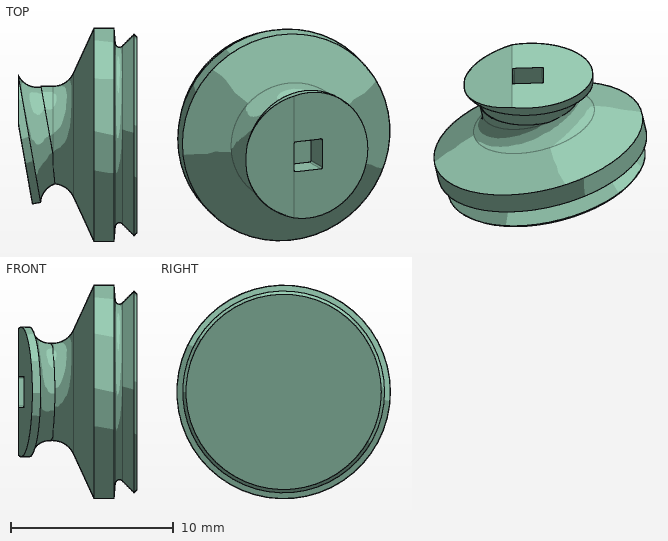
import cadquery as cq
import math

overall_length = 7.3
rim_radius = 6.565
rim_start_x = 4.65
rim_width = 1.23

neck_radius = 3.0
neck_fillet_start_x = 2.13
cone_angle = math.radians(24.7)

groove_bottom_radius = 5.4
groove_fillet = 0.25
groove_wall_angle = math.radians(5)
lip_angle = math.radians(45)
lip_radius = 6.2
lip_chamfer = 0.2

head_tilt = 10
head_pivot_x = 1.92
head_radius = 3.99
head_rim_width = 0.515
head_fillet = 1.3

socket_size = 1.9
socket_corner_radius = 0.1
socket_depth = 1.76


def arc_point(center, radius, angle):
    """Point of a circle in the (x, radius) half plane; angle in radians from +X."""
    return (center[0] + radius * math.cos(angle), center[1] + radius * math.sin(angle))


def revolve_about_x(outline):
    return outline.close().revolve(360, (0, 0, 0), (1, 0, 0))


def make_body():
    turn = math.pi / 2 - cone_angle
    cone_reach = rim_start_x - neck_fillet_start_x
    radial_rise = rim_radius - neck_radius
    neck_fillet = (cone_reach * math.sin(turn) - radial_rise * math.cos(turn)) / (1 - math.cos(turn))
    neck_center = (neck_fillet_start_x, neck_radius + neck_fillet)
    neck_fillet_middle = arc_point(neck_center, neck_fillet, -math.pi / 2 + turn / 2)
    neck_fillet_end = arc_point(neck_center, neck_fillet, -math.pi / 2 + turn)

    rim_end_x = rim_start_x + rim_width
    groove_center_radius = groove_bottom_radius + groove_fillet
    wall_drop = rim_radius - groove_center_radius
    groove_center_x = (
        rim_end_x + wall_drop * math.tan(groove_wall_angle) + groove_fillet / math.cos(groove_wall_angle)
    )
    groove_center = (groove_center_x, groove_center_radius)
    groove_start = arc_point(groove_center, groove_fillet, math.pi + groove_wall_angle)
    groove_bottom = (groove_center_x, groove_bottom_radius)
    groove_end = arc_point(groove_center, groove_fillet, -math.pi / 2 + lip_angle)
    lip_x = groove_end[0] + (lip_radius - groove_end[1]) / math.tan(lip_angle)

    outline = (
        cq.Workplane("XY")
        .moveTo(neck_fillet_start_x, 0)
        .lineTo(neck_fillet_start_x, neck_radius)
        .threePointArc(neck_fillet_middle, neck_fillet_end)
        .lineTo(rim_start_x, rim_radius)
        .lineTo(rim_end_x, rim_radius)
        .lineTo(*groove_start)
        .threePointArc(groove_bottom, groove_end)
        .lineTo(lip_x, lip_radius)
        .lineTo(overall_length, lip_radius - lip_chamfer)
        .lineTo(overall_length, 0)
    )
    return revolve_about_x(outline)


flank_center_radius = neck_radius + head_fillet
flank_length = math.sqrt(head_fillet**2 - (flank_center_radius - head_radius) ** 2)
head_length = flank_length + head_rim_width


def tilt_head(shape):
    """Turn a shape built along X with its origin at the pivot, then move it to the pivot."""
    return shape.rotate((0, 0, 0), (0, 0, 1), head_tilt).translate((head_pivot_x, 0, 0))


def make_head():
    flank_turn = math.asin(flank_length / head_fillet)
    flank_middle = arc_point((0, flank_center_radius), head_fillet, -math.pi / 2 - flank_turn / 2)
    outline = (
        cq.Workplane("XY")
        .moveTo(-head_length, 0)
        .lineTo(-head_length, head_radius)
        .lineTo(-flank_length, head_radius)
        .threePointArc(flank_middle, (0, neck_radius))
        .lineTo(0, 0)
    )
    return tilt_head(revolve_about_x(outline))


def make_socket():
    socket = (
        cq.Workplane("YZ", origin=(-head_length, 0, 0))
        .rect(socket_size, socket_size)
        .extrude(socket_depth)
        .edges("|X")
        .fillet(socket_corner_radius)
    )
    return tilt_head(socket)


def make_front_trim():
    """Block in front of x = 0 that cuts the flat on the +Y side of the head."""
    width = 2 * rim_radius
    return cq.Workplane("XY").box(overall_length, width, width).translate((-overall_length / 2, 0, 0))


def make_neck_core():
    """Neck carried forward to the tilted end plane of the head, filling the wedge on the +Y side."""
    block_size = 2 * rim_radius
    core_length = overall_length / 2
    front_block = cq.Workplane("XY").box(block_size, block_size, block_size)
    front_half = tilt_head(front_block.translate((-block_size / 2, 0, 0)))
    core = (
        cq.Workplane("YZ", origin=(neck_fillet_start_x - core_length, 0, 0))
        .circle(neck_radius)
        .extrude(core_length)
    )
    return core.cut(front_half)


result = make_body().union(make_head()).union(make_neck_core()).cut(make_front_trim()).cut(make_socket())